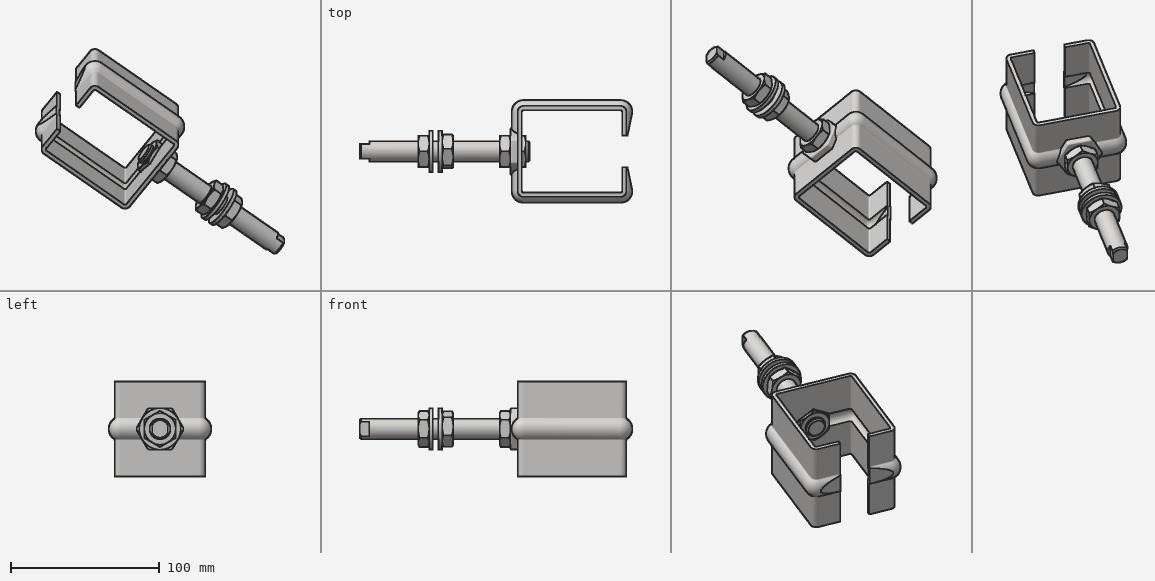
import cadquery as cq
import math

channel_start = 106.3
channel_length = 73.3
channel_width = 61.1
channel_height = 64.0
wall = 3.0
bend_radius = 4.0
lip_gap = 21.3

bead_radius = 8.0
bead_root_fillet = 1.0
lip_bead_rise = 0.7

boss_flats = 28.0
boss_rise = 4.8
boss_corner_radius = 2.2
boss_rim_fillet = 1.0

rod_diameter = 14.0
rod_length = 114.5
rod_end_diameter = 11.8
rod_chamfer_length = 1.1
key_flats = 10.1
key_length = 6.6

nut_flats = 21.1
nut_thickness = 7.3
nut_chamfer_angle = 30.0
loose_nut_turn = -9.0
washer_diameter = 28.0
washer_thickness = 2.5
washer_front_start = 46.8
washer_gap = 3.7

channel_end = channel_start + channel_length
bead_back_x = channel_start + bend_radius
bead_front_x = channel_end - bend_radius
bead_side_y = channel_width / 2 - bend_radius
bead_rise = bead_radius - bend_radius
lip_end_y = lip_gap / 2
boss_face_x = channel_start - boss_rise
boss_floor_x = boss_face_x + wall
washer_rear_start = washer_front_start + washer_thickness + washer_gap
nut_corners = nut_flats / math.cos(math.radians(30))


def rod_along_x(start, length, diameter):
    return cq.Workplane("YZ", origin=(start, 0, 0)).circle(diameter / 2).extrude(length)


def hexagon_along_x(start, length, flats, turn):
    """Hexagonal prism; with no turn its corners point to +Y and -Y."""
    corners = flats / math.cos(math.radians(30))
    prism = cq.Workplane("YZ", origin=(start, 0, 0)).polygon(6, corners).extrude(length)
    return prism.rotate((0, 0, 0), (1, 0, 0), turn)


def bead_section(offset, root_fillet):
    """Section from a bend axis out to the sheet face, with the bead bulging at mid height.

    The bead is round about the bend axis and meets the sheet in an arc of radius root_fillet.
    """
    face = bend_radius - offset
    radius = bead_radius - offset
    top = channel_height / 2
    root_centre_x = face + root_fillet
    root_centre_z = math.sqrt((radius + root_fillet) ** 2 - root_centre_x**2)
    bead_share = radius / (radius + root_fillet)
    bead_end = (root_centre_x * bead_share, root_centre_z * bead_share)
    section = cq.Workplane("XZ").moveTo(0, -top).lineTo(face, -top).lineTo(face, -root_centre_z)
    if root_fillet > 0:
        section = section.radiusArc((bead_end[0], -bead_end[1]), root_fillet)
    section = section.threePointArc((radius, 0), bead_end)
    if root_fillet > 0:
        section = section.radiusArc((face, root_centre_z), root_fillet)
    return section.lineTo(face, top).lineTo(0, top).close()


def beaded_box(offset, root_fillet):
    """Solid rounded box with the bead around it, all faces moved inwards by offset."""
    half_x = (bead_front_x - bead_back_x) / 2
    half_y = bead_side_y
    corner = bead_section(offset, root_fillet).revolve(90, (0, 0), (0, 1))
    end_panel = bead_section(offset, root_fillet).extrude(half_y, both=True).translate((half_x, 0, 0))
    side_panel = bead_section(offset, root_fillet).extrude(half_x, both=True).translate((half_y, 0, 0))
    body = cq.Workplane("XY").box(2 * half_x, 2 * half_y, channel_height)
    for turn in (0, 180):
        body = body.union(end_panel.rotate((0, 0, 0), (0, 0, 1), turn))
        body = body.union(side_panel.rotate((0, 0, 0), (0, 0, 1), turn + 90))
    for turn, x, y in ((0, 1, 1), (90, -1, 1), (180, -1, -1), (270, 1, -1)):
        turned_corner = corner.rotate((0, 0, 0), (0, 0, 1), turn)
        body = body.union(turned_corner.translate((x * half_x, y * half_y, 0)))
    return body.translate((bead_back_x + half_x, 0, 0))


def slope_lip_beads(body, offset):
    """Cut the bead on each lip to a slope that sinks from the bend towards the lip end."""
    crest_x = bead_front_x + bead_radius - offset
    for side in (-1, 1):
        wedge = (
            cq.Workplane("XY", origin=(0, 0, -bead_radius))
            .moveTo(crest_x, side * bead_side_y)
            .lineTo(crest_x - bead_rise + lip_bead_rise, side * lip_end_y)
            .lineTo(crest_x + bead_rise, side * lip_end_y)
            .lineTo(crest_x + bead_rise, side * bead_side_y)
            .close()
            .extrude(2 * bead_radius)
        )
        body = body.cut(wedge)
    return body


def make_boss():
    boss = hexagon_along_x(boss_face_x, boss_rise + wall, boss_flats, 0)
    boss = boss.edges("|X").fillet(boss_corner_radius)
    return boss.faces("<X").edges().fillet(boss_rim_fillet)


def make_channel():
    outside = slope_lip_beads(beaded_box(0, bead_root_fillet), 0).union(make_boss())
    inside = slope_lip_beads(beaded_box(wall, 0), wall)
    lip_opening = cq.Workplane("XY", origin=(channel_end, 0, 0)).box(
        2 * (wall + bead_radius), lip_gap, channel_height
    )
    nut_pocket = hexagon_along_x(boss_floor_x, nut_thickness, nut_flats, 90)
    rod_hole = rod_along_x(boss_face_x, boss_rise + wall, rod_diameter)
    channel = outside
    for hollow in (inside, lip_opening, nut_pocket, rod_hole):
        channel = channel.cut(hollow)
    return channel


def make_rod():
    rod = rod_along_x(0, rod_length, rod_diameter)
    chamfer_depth = (rod_diameter - rod_end_diameter) / 2
    rod = rod.faces("<X or >X").chamfer(rod_chamfer_length, chamfer_depth)
    for side in (-1, 1):
        flat_cut = cq.Workplane("XY").box(2 * key_length, rod_diameter, rod_diameter).translate(
            (0, side * (key_flats + rod_diameter) / 2, 0)
        )
        rod = rod.cut(flat_cut)
    return rod


def make_nut(start, turn):
    """Hexagonal nut with its corners chamfered at both ends."""
    nut = hexagon_along_x(start, nut_thickness, nut_flats, turn)
    corner_depth = (nut_corners - nut_flats) / 2
    corner_cone = rod_along_x(start, nut_thickness, nut_corners).faces("<X or >X").chamfer(
        corner_depth * math.tan(math.radians(nut_chamfer_angle)), corner_depth
    )
    return nut.intersect(corner_cone).cut(rod_along_x(start, nut_thickness, rod_diameter))


def make_washer(start):
    washer = rod_along_x(start, washer_thickness, washer_diameter)
    return washer.cut(rod_along_x(start, washer_thickness, rod_diameter))


channel = make_channel()
rod = make_rod()
washers = [make_washer(start) for start in (washer_front_start, washer_rear_start)]
nut_places = [
    (washer_front_start - nut_thickness, 90),
    (washer_rear_start + washer_thickness, 90 + loose_nut_turn),
    (boss_face_x - nut_thickness, 90),
    (boss_floor_x, 90),
]
nuts = [make_nut(start, turn) for start, turn in nut_places]

bodies = [channel, rod, *washers, *nuts]
result = cq.Compound.makeCompound([body.val() for body in bodies])